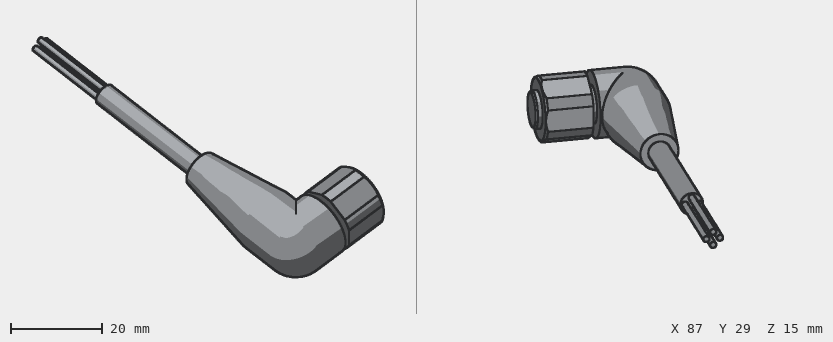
import cadquery as cq
import math

total_length = 87
total_width = 29.0
body_radius = 7.5

wire_end_x = body_radius - total_length
wire_exposed_length = 20
boot_end_x = -29.7
boot_end_radius = 4.3
boot_shoulder_x = -9.4
cable_radius = 2.5
wire_radius = 0.7
wire_offset = 1.52
wire_count = 4
embed = 0.9

plug_end_y = total_width - body_radius
elbow_end_y = 7.8
plug_radius = 4.3
plug_chamfer = 0.4
nut_start_y = 9.3
nut_end_y = 20.0
nut_flat_distance = 7.05
nut_chamfer = 0.5
nut_sides = 6


def cylinder_x(radius, start, end):
    return cq.Workplane("YZ", origin=(start, 0, 0)).circle(radius).extrude(end - start)


def cylinder_y(radius, start, end):
    return cq.Workplane("XZ", origin=(0, start, 0)).circle(radius).extrude(start - end)


def make_boot():
    """Tapered strain relief, straight sleeve and spherical elbow corner."""
    corner_on_arc = body_radius * math.sqrt(0.5)
    profile = (
        cq.Workplane("XY")
        .moveTo(boot_end_x, 0)
        .lineTo(boot_end_x, boot_end_radius)
        .lineTo(boot_shoulder_x, body_radius)
        .lineTo(0, body_radius)
        .threePointArc((corner_on_arc, corner_on_arc), (body_radius, 0))
        .close()
    )
    return profile.revolve(360, (0, 0, 0), (1, 0, 0))


def make_cable():
    """Jacketed cable with bare wires leaving its end."""
    jacket_end_x = wire_end_x + wire_exposed_length
    cable = cylinder_x(cable_radius, jacket_end_x, boot_end_x + embed)
    for index in range(wire_count):
        angle = 2 * math.pi * index / wire_count
        centre = (0, wire_offset * math.cos(angle), wire_offset * math.sin(angle))
        wire = cylinder_x(wire_radius, wire_end_x, jacket_end_x + embed).translate(centre)
        cable = cable.union(wire)
    return cable


def make_nut():
    """Hexagonal nut with flats facing +/-X and corners turned to a cylinder."""
    hexagon_diameter = 2 * nut_flat_distance / math.cos(math.pi / nut_sides)
    hexagon = (
        cq.Workplane("XZ", origin=(0, nut_start_y, 0))
        .polygon(nut_sides, hexagon_diameter)
        .extrude(nut_start_y - nut_end_y)
        .rotate((0, 0, 0), (0, 1, 0), 180 / nut_sides)
    )
    turned_blank = cylinder_y(body_radius, nut_start_y, nut_end_y).faces(">Y").chamfer(nut_chamfer)
    return hexagon.intersect(turned_blank)


def make_plug():
    return cylinder_y(plug_radius, 0, plug_end_y).faces(">Y").chamfer(plug_chamfer)


elbow_sleeve = cylinder_y(body_radius, 0, elbow_end_y)
result = make_boot().union(elbow_sleeve).union(make_plug()).union(make_nut()).union(make_cable())